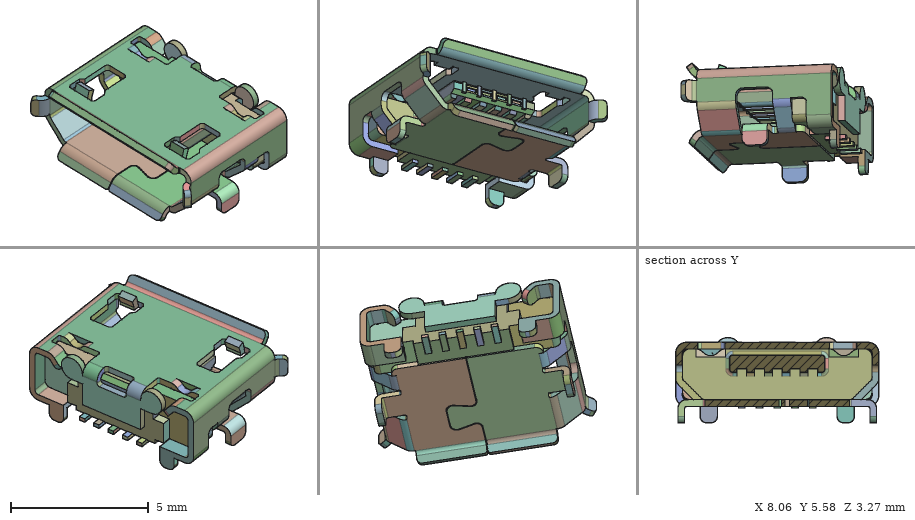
import cadquery as cq
import math


sheet = 0.25
bend_in = 0.15
bend_out = bend_in + sheet
half_width = 3.69
height = 2.335
length = 4.99
slant = 0.885
slant_end = 3.485
inner_half = half_width - sheet
ceiling = height - sheet
over = 0.08

flare_angle = math.radians(55)
flare_rise = 0.34
flare_in = 0.19
flare_out = flare_in + sheet
flare_straight = (flare_rise - flare_in * (1 - math.cos(flare_angle))) / math.sin(flare_angle)
flare_corner = 0.19
top_flare_half = 3.075
top_root_half = 3.12
top_root_length = 0.025
bottom_flare_half = 2.6
side_flare_low = 1.095
side_flare_high = 1.86

seam_gap = 0.03
seam_corner = 0.225
seam_corner_small = 0.1
dovetail_mid = 1.21
dovetail_neck = 0.32
dovetail_head = 0.6
dovetail_reach = 1.15
floor_end = 3.78
seam_margin = 1.61
floor_corner = 0.265

window_front = 1.45
window_back = 2.82
window_top = 1.51
window_corner = 0.265
window_floor_edge = 2.62
window_floor_corner = 0.07
relief_back = 4.065
relief_top = 1.08
relief_corner = 0.19
flap_inner = 2.165

leg_bottom = -0.595
leg_bend_in = 0.08
leg_corner = 0.24
foot_outer = 3.61
foot_front = 1.67
foot_back = 2.59
peg_outer = 2.8

latch_x = 2.39
latch_width = 0.98
latch_wide = 1.26
latch_front = 0.52
latch_shoulder = 1.11
latch_neck = 1.26
latch_back = 2.43
latch_corner = 0.14
tab_width = 0.64
tab_base = 0.13
tab_rise = 0.28
tab_lean = 0.105
tab_end_drop = 0.105

slot_inner = 1.305
slot_outer = 3.155
slot_front = 3.9
slot_back = 4.39
slot_corner = 0.08
notch_half = 0.65
notch_front = 4.42
notch_corner = 0.12
strip_bend_x = 2.88
strip_angle = math.radians(50)
strip_slope = 0.51
strip_corner = 0.24
back_plate_bottom = 0.64
back_plate_middle = 1.77
back_plate_corner = 0.11
ear_x = 1.79
ear_radius = 0.47
ear_z = 2.04

dip_x = 2.415
dip_half = 0.54
dip_depth = 0.24
dip_length = 0.33

body_corner = 0.25
body_back = length - sheet
body_back_chamfer = 0.17
body_back_half = 1.69
pocket_floor = 1.8
ledge_half = 2.16
ledge_top = 1.13
base_half = 1.77
base_bottom = 0.07

tongue_half = 1.73
tongue_low = 1.24
tongue_high = 1.87
tongue_tip = 0.97
tip_chamfer = 0.11
tip_low = 1.49
tip_step_run = 0.2
tip_under_run = 0.29
tongue_round = 0.12
root_fillet = 0.14
root_wall_half = dip_x - dip_half
contact_pitch = 0.64
contact_count = 5
contact_width = 0.15
contact_low = 1.44
contact_high = 1.84
contact_proud = 0.025
groove_width = 0.355
groove_top = 1.37
cell_width = 0.38
cell_low = 1.55
cell_high = 1.68
cell_depth = 0.065
tail_width = 0.24
tail_low = -0.06
tail_high = 0.1
tail_front = 4.28
tail_proud = 0.05


def block(x0, x1, y0, y1, z0, z1):
    corner = cq.Vector(min(x0, x1), min(y0, y1), min(z0, z1))
    return cq.Workplane(cq.Solid.makeBox(abs(x1 - x0), abs(y1 - y0), abs(z1 - z0), corner))


def along_y(outline, y0, y1):
    """Extrude an XZ outline from y0 to y1."""
    return outline.extrude(y0 - y1).translate((0, y0, 0))


def xz_plane():
    return cq.Workplane("XZ")


def both_sides(solid):
    return solid.union(solid.mirror("YZ"))


def front_section(inset):
    """Front section of the shell with slanted lower corners, moved inwards by the inset."""
    side = half_width - inset
    low = inset
    shift = inset * math.tan(math.pi / 8)
    knee = slant + shift
    toe = half_width - slant - shift
    return (xz_plane().moveTo(-side, height - inset).lineTo(side, height - inset).lineTo(side, knee)
            .lineTo(toe, low).lineTo(-toe, low).lineTo(-side, knee).close())


def tube(outer, inner, y0, y1):
    skin = along_y(outer, y0, y1).edges("|Y").fillet(bend_out)
    return skin.cut(along_y(inner, y0, y1).edges("|Y").fillet(bend_in))


def shell_tube():
    mid = height / 2
    front = tube(front_section(0), front_section(sheet), 0, slant_end)
    rear = tube(xz_plane().center(0, mid).rect(2 * half_width, height),
                xz_plane().center(0, mid).rect(2 * inner_half, height - 2 * sheet), slant_end, length)
    rear = rear.cut(block(-flap_inner, flap_inner, slant_end, length, 0, sheet))
    relief = block(-half_width, half_width, slant_end - over, relief_back, -over, relief_top)
    relief = relief.edges("|X and >Y and >Z").fillet(relief_corner)
    rear = rear.cut(relief)
    toe = half_width - slant
    rear_floor = block(-toe, toe, slant_end, floor_end, 0, sheet)
    rear_floor = rear_floor.edges("|Z and >Y").fillet(floor_corner)
    return front.union(rear).union(rear_floor)


def side_windows():
    opening = block(-half_width - over, -window_floor_edge, window_front, window_back, -over, window_top)
    return both_sides(opening.edges("|X and >Z").fillet(window_corner))


def flare(x0, x1, left_corner, right_corner):
    """Lip bent up from the mouth of a sheet whose outer face is Z = 0."""
    sin, cos = math.sin(flare_angle), math.cos(flare_angle)
    half = flare_angle / 2

    def on_arc(radius, angle):
        return (-radius * math.sin(angle), flare_in - radius * math.cos(angle))

    def beyond(point):
        return (point[0] - flare_straight * cos, point[1] + flare_straight * sin)

    upper = on_arc(flare_in, flare_angle)
    lower = on_arc(flare_out, flare_angle)
    lip = (cq.Workplane("YZ").moveTo(0, 0).threePointArc(on_arc(flare_in, half), upper)
           .lineTo(*beyond(upper)).lineTo(*beyond(lower)).lineTo(*lower)
           .threePointArc(on_arc(flare_out, half), (0, -sheet)).close()
           .extrude(x1 - x0).translate((x0, 0, 0)))
    across_tip = cq.selectors.ParallelDirSelector(cq.Vector(0, sin, cos))
    lip = lip.edges(across_tip).edges("<X").fillet(left_corner)
    return lip.edges(across_tip).edges(">X").fillet(right_corner)


def flares():
    top = flare(-top_flare_half, top_flare_half, flare_corner, flare_corner).translate((0, 0, height))
    bottom = flare(seam_gap / 2, bottom_flare_half, seam_corner_small, flare_corner)
    bottom = bottom.mirror("XY")
    side_half = (side_flare_high - side_flare_low) / 2
    side = flare(-side_half, side_half, flare_corner, flare_corner).rotate((0, 0, 0), (0, 1, 0), -90)
    side = side.translate((-half_width, 0, (side_flare_high + side_flare_low) / 2))
    root = block(-top_root_half, top_root_half, -top_root_length, 0, ceiling, height)
    return top.union(root).union(both_sides(bottom)).union(both_sides(side))


def seam():
    """Thin dovetailed gap between the two halves of the floor."""
    outline = [
        (-seam_margin, -over), (0, -over),
        (0, dovetail_mid - dovetail_neck), (dovetail_reach, dovetail_mid - dovetail_head),
        (dovetail_reach, dovetail_mid + dovetail_head), (0, dovetail_mid + dovetail_neck),
        (0, floor_end + over), (-seam_margin, floor_end + over),
    ]
    half_floor = cq.Workplane("XY").polyline(outline).close().extrude(sheet)
    lock = cq.selectors.BoxSelector((-over, 0, -over), (dovetail_reach + over, floor_end, height))
    half_floor = half_floor.edges("|Z").edges(lock).fillet(seam_corner)
    grown = half_floor.faces("<Z").wires().toPending().offset2D(seam_gap).extrude(sheet)
    gap = grown.cut(half_floor).translate((-seam_gap / 2, 0, 0))
    return gap.intersect(block(-over, half_width, -over, floor_end, 0, sheet))


def feet():
    """Legs running outwards from the floor in the side windows and bent straight down."""
    start = window_floor_edge - over
    bend = leg_bend_in + sheet
    inner = foot_outer - sheet
    k = 1 - math.sqrt(0.5)
    outline = (xz_plane().moveTo(start, sheet).lineTo(foot_outer - bend, sheet)
               .threePointArc((foot_outer - bend * k, sheet - bend * k), (foot_outer, sheet - bend))
               .lineTo(foot_outer, leg_bottom).lineTo(inner, leg_bottom).lineTo(inner, -leg_bend_in)
               .threePointArc((inner - leg_bend_in * k, -leg_bend_in * k), (foot_outer - bend, 0))
               .lineTo(start, 0).close())
    foot = along_y(outline, foot_front, foot_back)
    return both_sides(foot.edges("|X and <Z").fillet(leg_corner))


def pegs():
    """Round-ended legs going straight down from the rear floor flaps."""
    peg = block(flap_inner, peg_outer, length - sheet, length, leg_bottom, sheet)
    return both_sides(peg.edges("|Y and <Z").fillet(leg_corner))


def round_window_floor(metal):
    """Round the inner corners beside the feet, where the windows reach into the floor."""
    for x in (-window_floor_edge, window_floor_edge):
        near = cq.selectors.BoxSelector((x - window_floor_corner, window_front - over, 0),
                                        (x + window_floor_corner, window_back + over, sheet))
        metal = metal.edges("|Z").edges(near).fillet(window_floor_corner)
    return metal


def latch_openings():
    narrow, wide = latch_width / 2, latch_wide / 2
    outline = [(-wide, latch_front), (wide, latch_front), (wide, latch_shoulder), (narrow, latch_neck),
               (narrow, latch_back), (-narrow, latch_back), (-narrow, latch_neck), (-wide, latch_shoulder)]
    opening = cq.Workplane("XY").polyline(outline).close().extrude(sheet)
    opening = opening.edges("|Z and (<Y or >Y)").fillet(latch_corner)
    return both_sides(opening.translate((latch_x, 0, ceiling)))


def latch_tabs():
    """Small tabs at the front of the latch openings, leaning backwards above the top."""
    knee = ceiling + tab_base
    tip = height + tab_rise
    back = latch_front + sheet
    outline = [(latch_front, ceiling), (back, ceiling), (back, knee), (back + tab_lean, tip - tab_end_drop),
               (latch_front + tab_lean, tip), (latch_front, knee)]
    tab = cq.Workplane("YZ").polyline(outline).close().extrude(tab_width / 2, both=True)
    return both_sides(tab.translate((latch_x, 0, 0)))


def rear_openings():
    slot = block(slot_inner, slot_outer, slot_front, slot_back, ceiling, height)
    slot = slot.edges("|Z").fillet(slot_corner)
    gap = block(slot_inner, strip_bend_x, slot_back - sheet, length, ceiling, height)
    notch = block(-notch_half, notch_half, notch_front, length + over, ceiling, height)
    notch = notch.edges("|Z and <Y").fillet(notch_corner)
    edge = block(-slot_inner, slot_inner, length - bend_out, length, ceiling, height)
    return both_sides(slot.union(gap)).union(notch).union(edge)


def rear_strips():
    """Ends of the top plate behind the slots, bent down towards the middle."""
    sin, cos = math.sin(strip_angle), math.cos(strip_angle)
    half = strip_angle / 2
    centre_z = height - bend_out

    def on_arc(radius, angle):
        return (strip_bend_x - radius * math.sin(angle), centre_z + radius * math.cos(angle))

    def beyond(point):
        return (point[0] - strip_slope * cos, point[1] - strip_slope * sin)

    upper = on_arc(bend_out, strip_angle)
    lower = on_arc(bend_in, strip_angle)
    outline = (xz_plane().moveTo(strip_bend_x, height).threePointArc(on_arc(bend_out, half), upper)
               .lineTo(*beyond(upper)).lineTo(*beyond(lower)).lineTo(*lower)
               .threePointArc(on_arc(bend_in, half), (strip_bend_x, ceiling)).close())
    strip = along_y(outline, slot_back, length)
    tip_edges = cq.selectors.ParallelDirSelector(cq.Vector(-sin, 0, cos))
    return both_sides(strip.edges(tip_edges).fillet(strip_corner))


def back_plate():
    """Wall bent down from the top plate, with a round ear on each side."""
    front = length - sheet
    k = math.sqrt(0.5)
    centre = (length - bend_out, height - bend_out)
    flap = (cq.Workplane("YZ").moveTo(centre[0], height)
            .threePointArc((centre[0] + bend_out * k, centre[1] + bend_out * k), (length, centre[1]))
            .lineTo(length, back_plate_bottom).lineTo(front, back_plate_bottom).lineTo(front, centre[1])
            .threePointArc((centre[0] + bend_in * k, centre[1] + bend_in * k), (centre[0], ceiling))
            .close().extrude(slot_inner, both=True))
    notch = block(-notch_half, notch_half, centre[0], length, back_plate_middle, height)
    flap = flap.cut(notch.edges("|Y and <Z").fillet(back_plate_corner))
    ear = along_y(xz_plane().center(ear_x, ear_z).circle(ear_radius), front, length)
    neck = block(slot_inner, ear_x, front, length, ear_z - ear_radius, ear_z)
    return flap.union(both_sides(ear.union(neck)))


def dip_outline():
    """Section of a dip: the same line of four tangent arcs at the top and bottom of the sheet."""
    radius = (dip_half ** 2 + dip_depth ** 2) / (4 * dip_depth)
    half_angle = math.asin(dip_half / 2 / radius) / 2
    dx = radius * math.sin(half_angle)
    dz = radius * (1 - math.cos(half_angle))
    run = dip_half / 2

    def dip_line(line, z, side):
        """Draw from the rim on the given side (-1 or 1) to the rim on the other side."""
        middle_z = z - dip_depth / 2
        floor_z = z - dip_depth
        return (line.threePointArc((side * (dip_half - dx), z - dz), (side * run, middle_z))
                .threePointArc((side * dx, floor_z + dz), (0, floor_z))
                .threePointArc((-side * dx, floor_z + dz), (-side * run, middle_z))
                .threePointArc((-side * (dip_half - dx), z - dz), (-side * dip_half, z)))

    top = dip_line(xz_plane().moveTo(-dip_half, height), height, -1)
    return dip_line(top.lineTo(dip_half, ceiling), ceiling, 1).close()


def dips():
    dip = along_y(dip_outline(), slot_front - dip_length, slot_front)
    return both_sides(dip.translate((dip_x, 0, 0)))


def dip_clearance():
    return both_sides(block(dip_x - dip_half, dip_x + dip_half, slot_front - dip_length, slot_front,
                            ceiling, height))


def shell():
    metal = shell_tube().cut(side_windows()).cut(seam()).cut(latch_openings())
    metal = metal.cut(rear_openings()).cut(dip_clearance())
    metal = round_window_floor(metal.union(feet()))
    for piece in (flares(), pegs(), latch_tabs(), rear_strips(), back_plate(), dips()):
        metal = metal.union(piece)
    return metal


def moulded_body():
    main = block(-inner_half, inner_half, slant_end, slot_back, sheet, ceiling)
    main = main.edges("|Y").fillet(body_corner)
    middle = block(-body_back_half, body_back_half, slot_back, body_back, sheet, ceiling)
    main = main.union(middle.edges("|X and >Y and >Z").chamfer(body_back_chamfer))
    main = main.union(block(-ledge_half, ledge_half, slot_back, body_back, sheet, ledge_top))
    main = main.union(block(-base_half, base_half, floor_end, body_back, base_bottom, sheet))
    pocket = block(dip_x - dip_half, dip_x + dip_half, slant_end, slot_front, pocket_floor, ceiling)
    return main.cut(both_sides(pocket))


def contact_positions():
    return [contact_pitch * (i - (contact_count - 1) / 2) for i in range(contact_count)]


def tongue():
    """Tongue with a rounded root, contact grooves underneath and contacts showing at its tip."""
    outline = [(tongue_tip, tip_low), (tongue_tip + tip_step_run, groove_top),
               (tongue_tip + tip_under_run, tongue_low), (slant_end, tongue_low), (slant_end, tongue_high),
               (tongue_tip + tip_chamfer, tongue_high), (tongue_tip, tongue_high - tip_chamfer)]
    blade = cq.Workplane("YZ").polyline(outline).close().extrude(tongue_half, both=True)
    blade = blade.edges("|Y and (<Z or >Z)").edges("<X or >X").fillet(tongue_round)
    wall = block(-root_wall_half, root_wall_half, slant_end, floor_end, sheet, ceiling)
    root_edges = cq.selectors.BoxSelector(
        (-tongue_half - over, slant_end - root_fillet / 2, tongue_low - over),
        (tongue_half + over, slant_end + root_fillet / 2, tongue_high + over))
    blade = blade.union(wall).edges(root_edges).fillet(root_fillet)
    for x in contact_positions():
        groove = block(x - groove_width / 2, x + groove_width / 2, tongue_tip, slant_end, 0, groove_top)
        blade = blade.cut(groove)
        contact = block(x - contact_width / 2, x + contact_width / 2, tongue_tip - contact_proud,
                        tongue_tip + tip_chamfer, contact_low, contact_high)
        blade = blade.union(contact)
    for x in contact_positions()[:-1]:
        middle = x + contact_pitch / 2
        blade = blade.cut(block(middle - cell_width / 2, middle + cell_width / 2, tongue_tip,
                                tongue_tip + cell_depth, cell_low, cell_high))
    return blade


def tails():
    """Solder tails of the contacts, showing just behind the shell."""
    half = tail_width / 2
    back = length + tail_proud
    joined = cq.Workplane("XY")
    for x in contact_positions():
        joined = joined.add(block(x - half, x + half, tail_front, back, tail_low, tail_high))
    return joined.combine()


result = shell().union(moulded_body()).union(tongue()).union(tails())